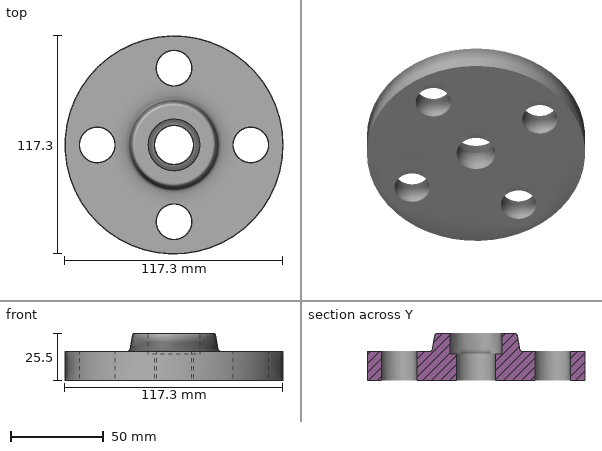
import cadquery as cq
import math

flange_diameter = 117.3
flange_thickness = 15.7

total_height = 25.5
hub_height = total_height - flange_thickness
hub_base_diameter = 47.7
hub_taper_angle = 10.0
hub_edge_radius = 1.5
hub_top_diameter = hub_base_diameter - 2 * hub_height * math.tan(math.radians(hub_taper_angle))

socket_diameter = 27.8
socket_depth = 11.0
bore_diameter = 20.9

bolt_count = 4
bolt_hole_diameter = 19.0
bolt_circle_diameter = 82.6


def flange_body():
    """Revolve the plate and hub as one solid, then round the hub's foot and rim."""
    body = (
        cq.Workplane("XZ")
        .moveTo(0, 0)
        .lineTo(flange_diameter / 2, 0)
        .lineTo(flange_diameter / 2, flange_thickness)
        .lineTo(hub_base_diameter / 2, flange_thickness)
        .lineTo(hub_top_diameter / 2, total_height)
        .lineTo(0, total_height)
        .close()
        .revolve(360, (0, 0), (0, 1))
    )
    hub_rim = cq.selectors.RadiusNthSelector(0)
    hub_foot = cq.selectors.RadiusNthSelector(1)
    return body.edges(hub_foot + hub_rim).fillet(hub_edge_radius)


def cut_stepped_bore(body):
    """Cut the socket and the through bore down the hub's axis."""
    hub_face = body.faces(">Z").workplane()
    return hub_face.cboreHole(bore_diameter, socket_diameter, socket_depth)


def cut_bolt_holes(body):
    """Cut the ring of bolt holes through the plate."""
    holes = (
        cq.Workplane("XY")
        .polarArray(bolt_circle_diameter / 2, 0, 360, bolt_count)
        .circle(bolt_hole_diameter / 2)
        .extrude(flange_thickness)
    )
    return body.cut(holes)


result = flange_body()
result = cut_stepped_bore(result)
result = cut_bolt_holes(result)